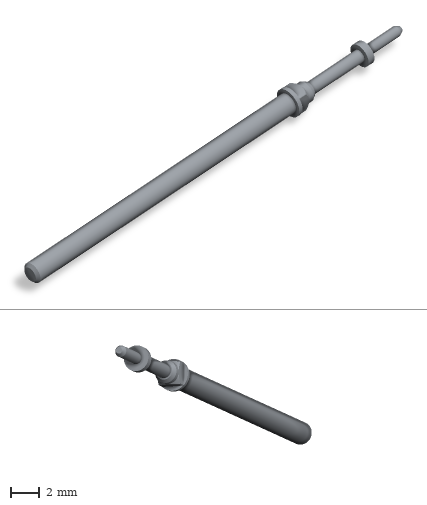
import cadquery as cq

length = 36.5
tip_y = length / 2
end_y = -length / 2

tip_diameter = 0.85
tip_face_diameter = 0.47
tip_chamfer_length = 0.35
stop_diameter = 1.85
stop_start = tip_y - 3.43
stop_end = stop_start - 0.6
shaft_diameter = 1.02

barrel_diameter = 1.65
barrel_end_chamfer = 0.237
nose_face_diameter = 1.25
nose_start = tip_y - 8.98
nose_cone_length = 0.33
collar_diameter = 2.3
collar_start = tip_y - 10.73
collar_end = collar_start - 0.33

key_width = barrel_diameter
key_corner_diameter = 2.25
key_start = tip_y - 9.75
key_cone_length = (key_corner_diameter - key_width) / 2


def turned(points):
    """Revolve an open (radius, y) outline about the Y axis, closing it along the axis."""
    outline = [(0, points[0][1])] + points + [(0, points[-1][1])]
    return cq.Workplane("XY").polyline(outline).close().revolve(360, (0, 0, 0), (0, 1, 0))


def plunger():
    tip_radius = tip_diameter / 2
    stop_radius = stop_diameter / 2
    shaft_radius = shaft_diameter / 2
    return turned([
        (tip_face_diameter / 2, tip_y),
        (tip_radius, tip_y - tip_chamfer_length),
        (tip_radius, stop_start),
        (stop_radius, stop_start),
        (stop_radius, stop_end),
        (shaft_radius, stop_end),
        (shaft_radius, nose_start),
    ])


def barrel():
    barrel_radius = barrel_diameter / 2
    collar_radius = collar_diameter / 2
    return turned([
        (nose_face_diameter / 2, nose_start),
        (barrel_radius, nose_start - nose_cone_length),
        (barrel_radius, collar_start),
        (collar_radius, collar_start),
        (collar_radius, collar_end),
        (barrel_radius, collar_end),
        (barrel_radius, end_y + barrel_end_chamfer),
        (barrel_radius - barrel_end_chamfer, end_y),
    ])


def square_key():
    key_length = key_start - collar_start
    corner_radius = key_corner_diameter / 2
    square = cq.Workplane("XY").box(key_width, key_length, key_width)
    square = square.translate((0, (key_start + collar_start) / 2, 0))
    coned_round = turned([
        (key_width / 2, key_start),
        (corner_radius, key_start - key_cone_length),
        (corner_radius, collar_start),
    ])
    return square.intersect(coned_round)


result = plunger().union(barrel()).union(square_key())